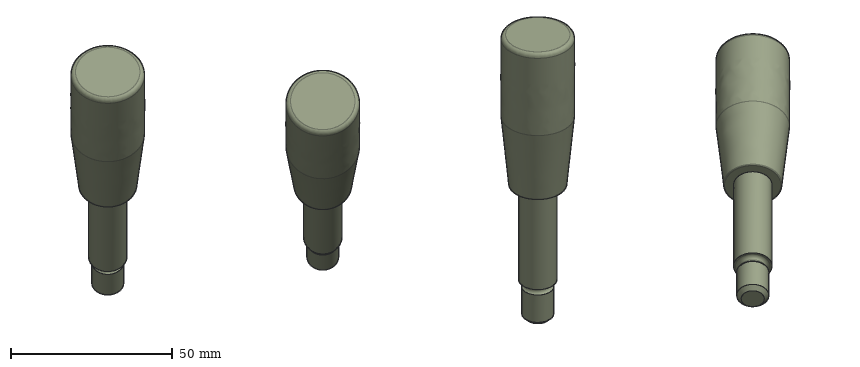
import cadquery as cq

total_height = 104.0

stud_radius = 10.0 / 2
tip_radius = 7.2 / 2
tip_chamfer = stud_radius - tip_radius
groove_root_radius = 8.3 / 2
groove_arc_radius = 1.2
groove_bottom_z = 11.4

shaft_radius = 12.0 / 2
shaft_bottom_z = 14.0
groove_root_z = shaft_bottom_z - groove_arc_radius

grip_bottom_z = 49.0
grip_bottom_radius = 9.0
grip_bottom_fillet = 0.3
taper_top_z = 74.2
taper_top_radius = 11.4
barrel_radius = 23.0 / 2
top_fillet = 1.5
barrel_mid_z = (taper_top_z + total_height) / 2


def make_shaft():
    """Turned shaft with a chamfered stud and a groove of two concave arcs."""
    groove_center_radius = groove_root_radius + groove_arc_radius
    half_sqrt_two = 0.5**0.5
    arc_mid_radius = groove_center_radius - groove_arc_radius * half_sqrt_two
    arc_mid_z = groove_root_z + groove_arc_radius * half_sqrt_two
    profile = (
        cq.Workplane("XZ")
        .lineTo(tip_radius, 0)
        .lineTo(stud_radius, tip_chamfer)
        .lineTo(stud_radius, groove_bottom_z)
        .radiusArc((groove_root_radius, groove_root_z), groove_arc_radius)
        .threePointArc((arc_mid_radius, arc_mid_z), (groove_center_radius, shaft_bottom_z))
        .lineTo(shaft_radius, shaft_bottom_z)
        .lineTo(shaft_radius, grip_bottom_z)
        .lineTo(0, grip_bottom_z)
        .close()
    )
    return profile.revolve(360, (0, 0), (0, 1))


def make_grip():
    """Handle grip with rounded ends."""
    profile = (
        cq.Workplane("XZ")
        .moveTo(0, grip_bottom_z)
        .lineTo(grip_bottom_radius, grip_bottom_z)
        .lineTo(taper_top_radius, taper_top_z)
        .threePointArc((barrel_radius, barrel_mid_z), (taper_top_radius, total_height))
        .lineTo(0, total_height)
        .close()
    )
    grip = profile.revolve(360, (0, 0), (0, 1))
    grip = grip.faces(">Z").edges().fillet(top_fillet)
    return grip.faces("<Z").edges().fillet(grip_bottom_fillet)


result = make_shaft().union(make_grip())